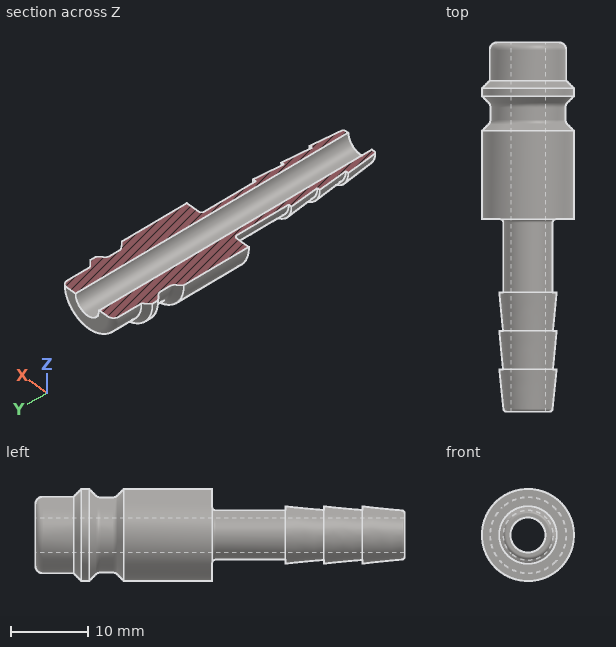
import cadquery as cq
import math

total_length = 48.0
bore_radius = 2.25

body_radius = 6.0
nose_radius = 5.0
nose_rounding = 1.0
collar_start = 5.0
collar_flat = 1.0
groove_radius = 4.9
groove_end = 11.5
groove_fillet = 0.8
body_end = 23.0

arc_mid_inset = 1 - math.sqrt(0.5)

stem_radius = 3.2
stem_fillet = 0.45
barb_radius = 3.75
barb_root_radius = 3.25
barb_count = 3
barb_pitch = 5.0
last_barb_length = 5.5
tip_rounding = 0.45

nose_y = total_length / 2
tip_y = -total_length / 2
shoulder_y = nose_y - body_end

collar_front_y = nose_y - collar_start
collar_rim_front_y = collar_front_y - (body_radius - nose_radius)
collar_rim_back_y = collar_rim_front_y - collar_flat
groove_end_y = nose_y - groove_end

flank_angle = math.radians(45)
half_sweep = flank_angle / 2
fillet_rise = groove_fillet * (1 - math.cos(flank_angle))
fillet_length = groove_fillet * math.sin(flank_angle)
flank_run = body_radius - groove_radius - fillet_rise
flank_foot_radius = groove_radius + fillet_rise
fillet_mid_radius = groove_radius + groove_fillet * (1 - math.cos(half_sweep))
fillet_mid_offset = groove_fillet * math.sin(half_sweep)
floor_front_y = collar_rim_back_y - flank_run - fillet_length
floor_back_y = groove_end_y + flank_run + fillet_length


def add_plug_end(profile):
    """Trace nose, collar, groove and body down to the shoulder."""
    corner = nose_rounding * arc_mid_inset
    return (
        profile
        .lineTo(nose_radius - nose_rounding, nose_y)
        .threePointArc(
            (nose_radius - corner, nose_y - corner),
            (nose_radius, nose_y - nose_rounding),
        )
        .lineTo(nose_radius, collar_front_y)
        .lineTo(body_radius, collar_rim_front_y)
        .lineTo(body_radius, collar_rim_back_y)
        .lineTo(flank_foot_radius, collar_rim_back_y - flank_run)
        .threePointArc(
            (fillet_mid_radius, floor_front_y + fillet_mid_offset),
            (groove_radius, floor_front_y),
        )
        .lineTo(groove_radius, floor_back_y)
        .threePointArc(
            (fillet_mid_radius, floor_back_y - fillet_mid_offset),
            (flank_foot_radius, groove_end_y + flank_run),
        )
        .lineTo(body_radius, groove_end_y)
        .lineTo(body_radius, shoulder_y)
    )


def add_stem(profile):
    """Trace the filleted stem root, the barbs and the rounded hose tip."""
    root = stem_fillet * arc_mid_inset
    profile = (
        profile
        .lineTo(stem_radius + stem_fillet, shoulder_y)
        .threePointArc(
            (stem_radius + root, shoulder_y - root),
            (stem_radius, shoulder_y - stem_fillet),
        )
    )
    last_barb_y = tip_y + last_barb_length
    first_barb_y = last_barb_y + (barb_count - 1) * barb_pitch
    profile = profile.lineTo(stem_radius, first_barb_y)
    for index in range(barb_count):
        barb_y = first_barb_y - index * barb_pitch
        profile = profile.lineTo(barb_radius, barb_y)
        if index < barb_count - 1:
            profile = profile.lineTo(barb_root_radius, barb_y - barb_pitch)
    corner = tip_rounding * arc_mid_inset
    return (
        profile
        .lineTo(stem_radius, tip_y + tip_rounding)
        .threePointArc(
            (stem_radius - corner, tip_y + corner),
            (stem_radius - tip_rounding, tip_y),
        )
    )


outline = cq.Workplane("XY").moveTo(bore_radius, nose_y)
outline = add_stem(add_plug_end(outline)).lineTo(bore_radius, tip_y).close()
result = outline.revolve(360, (0, 0, 0), (0, 1, 0))